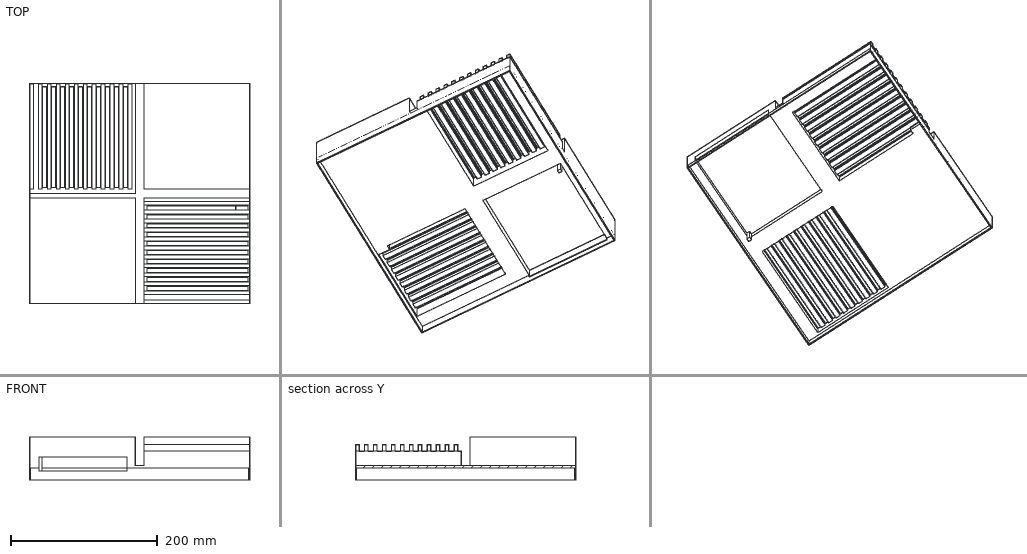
import cadquery as cq

side = 300.0
height = 59.0
block = 144.2
groove_width = 11.7
groove_floor = 20.0
far = block + groove_width

deck = 39.5
slat_top = 48.5
slat_count = 12
slat_width = 5.0
slat_margin = 4.8
slat_pitch = (block - slat_margin - slat_width) / (slat_count - 1)
slat_setback = 0.3
end_setback = 0.5
overhang = 0.3
grille_bottom = 28.5

vent_count = slat_count - 2
vent_width = 5.5
vent_offset = 0.5
vent_length = 137.0
first_vent = slat_pitch + slat_width + vent_offset
vent_span = (vent_count - 1) * slat_pitch + vent_width
right_vent_inset = 4.5
back_vent_inset = 2.5

ledge_width = 5.7

recess_depth = 16.2
recess_side_wall = 1.5
recess_front_wall = 1.0
deck_bottom = 31.5

window_start = 12.5
window_width = 120.2
window_bottom = 12.5

window_post = 4.5
vent_post_length = 16.5
vent_post_width = 6.3


def box(x, y, z):
    """A box from its (start, end) span along each axis."""
    return (
        cq.Workplane("XY")
        .box(x[1] - x[0], y[1] - y[0], z[1] - z[0], centered=False)
        .translate((x[0], y[0], z[0]))
    )


def span(start, length):
    return (start, start + length)


near_quadrant = (0, block)
far_quadrant = (far, side)
whole = (0, side)
groove = (block, far)
above_groove_floor = (groove_floor, height)
above_deck = (deck, height)

body = box(whole, whole, (0, height))
body = body.cut(box(far_quadrant, near_quadrant, above_deck))
body = body.cut(box(near_quadrant, far_quadrant, above_deck))

body = body.cut(box(groove, whole, above_groove_floor))
body = body.cut(box((block, side), groove, above_groove_floor))
body = body.cut(box(near_quadrant, (block, far - ledge_width), above_groove_floor))
body = body.cut(box(near_quadrant, groove, above_deck))

body = body.union(box(span(side, overhang), near_quadrant, (grille_bottom, deck)))

right_slats = (far, side + overhang)
back_slats = (far, side - end_setback)
for index in range(slat_count):
    slat_start = index * slat_pitch
    slat_end = slat_start + slat_width
    across = (max(slat_start, slat_setback), slat_end)
    body = body.union(box(right_slats, across, (deck, slat_top)))
    body = body.union(box(across, back_slats, (deck, slat_top)))

right_vents = span(far + right_vent_inset, vent_length)
back_vents = span(far + back_vent_inset, vent_length)
for index in range(vent_count):
    across = span(first_vent + index * slat_pitch, vent_width)
    body = body.cut(box(right_vents, across, (0, deck)))
    body = body.cut(box(across, back_vents, (0, deck)))

recess_x = (recess_side_wall, side - recess_side_wall)
recess_y = (recess_front_wall, side - recess_side_wall)
body = body.cut(box(recess_x, recess_y, (0, recess_depth)))

vent_rows = span(first_vent, vent_span)
cavity_height = (recess_depth, deck_bottom)
body = body.cut(box(right_vents, vent_rows, cavity_height))
body = body.cut(box(vent_rows, back_vents, cavity_height))

window_x = span(window_start, window_width)
cavity_y = (0, window_start + window_width)
body = body.cut(box(window_x, cavity_y, (window_bottom, deck_bottom)))

window_post_x = span(window_start, window_post)
window_post_y = (cavity_y[1] - window_post, cavity_y[1])
body = body.union(box(window_post_x, window_post_y, (0, deck_bottom)))

vent_post_x = (right_vents[1] - vent_post_length, right_vents[1])
vent_post_y = (vent_rows[1] - vent_post_width, vent_rows[1])
body = body.union(box(vent_post_x, vent_post_y, cavity_height))

result = body